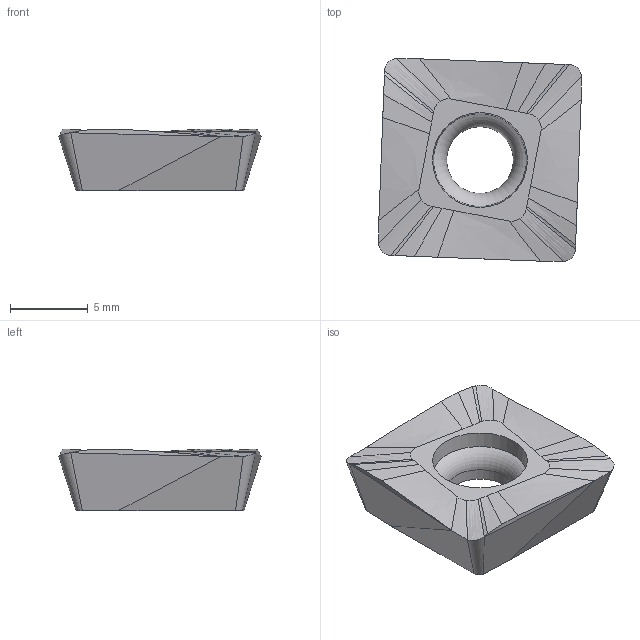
import cadquery as cq
import math

side_count = 4

base_half_width = 5.38
base_left_x = -4.99
base_right_x = 4.84
base_bend_x = -2.70
base_nose_bulge = 0.10

wiper_right_x = 5.34
wiper_left_x = 3.89
wiper_y = -6.49
wiper_height = 3.49
peak_right_x = -2.73
peak_left_x = -4.21
peak_height = 3.97
rise_x = -5.45
rise_height = 3.82
nose_x = -5.73
nose_y = -6.12
nose_height = 3.73
nose_bulge = 0.225
slope_bulge = 0.03

land_height = 3.8
land_half_width = 3.50
land_corner_radius = 0.97
land_turn = math.radians(-10.7)
land_split_turn = math.radians(47)
land_peak_right = -1.05
land_peak_left = -1.82
land_rise = -2.36

mouth_radius = 3.04
seat_radius = 2.98
seat_depth = 1.02
throat_radius = 2.14
throat_top_depth = 2.25
throat_bottom_depth = 2.98
relief_radius = 3.4

quarter_turn = 2 * math.pi / side_count
land_straight = land_half_width - land_corner_radius


def placed(point, side):
    """Turn a point of the front side onto the given side, clockwise seen from above."""
    angle = -side * quarter_turn
    x, y, z = point
    return cq.Vector(
        x * math.cos(angle) - y * math.sin(angle),
        x * math.sin(angle) + y * math.cos(angle),
        z,
    )


def bulged_arc(start, end, bulge):
    """Arc whose middle is pushed away from the Z axis by bulge."""
    middle = (start + end) * 0.5
    outward = cq.Vector(middle.x, middle.y, 0).normalized()
    return cq.Edge.makeThreePointArc(start, middle + outward * bulge, end)


def line_chain(points):
    return [cq.Edge.makeLine(start, end) for start, end in zip(points, points[1:])]


def face_inside(edges):
    return cq.Face.makeFromWires(cq.Wire.assembleEdges(edges))


def polygon(*points):
    return cq.Face.makeFromWires(cq.Wire.makePolygon(list(points), close=True))


def rim_y(x):
    """The rim is straight in plan from the nose to the wiper edge."""
    share = (x - nose_x) / (wiper_left_x - nose_x)
    return nose_y + share * (wiper_y - nose_y)


def facet_base_y(x):
    """Bottom edge of the left facet: its plane holds the crease and the nose end of the rim."""
    along_crease = cq.Vector(wiper_left_x - base_bend_x, wiper_y + base_half_width, wiper_height)
    toward_nose = cq.Vector(nose_x - base_bend_x, nose_y + base_half_width, nose_height)
    normal = along_crease.cross(toward_nose)
    return -base_half_width - (x - base_bend_x) * normal.x / normal.y


def rim_edges(side):
    """Rim of one side in order: wiper, slope, peak, rise, nose approach, nose arc."""
    wiper_right = placed((wiper_right_x, wiper_y, wiper_height), side)
    wiper_left = placed((wiper_left_x, wiper_y, wiper_height), side)
    peak_right = placed((peak_right_x, rim_y(peak_right_x), peak_height), side)
    peak_left = placed((peak_left_x, rim_y(peak_left_x), peak_height), side)
    rise = placed((rise_x, rim_y(rise_x), rise_height), side)
    nose = placed((nose_x, nose_y, nose_height), side)
    next_wiper = placed((wiper_right_x, wiper_y, wiper_height), side + 1)

    slope_middle = (wiper_left + peak_right) * 0.5 + cq.Vector(0, 0, slope_bulge)
    return [
        cq.Edge.makeLine(wiper_right, wiper_left),
        cq.Edge.makeThreePointArc(wiper_left, slope_middle, peak_right),
        *line_chain([peak_right, peak_left, rise, nose]),
        bulged_arc(nose, next_wiper, nose_bulge),
    ]


def land_point(along, outward, side):
    """Point of the land, by distance along its front edge and outward from the axis."""
    x = along * math.cos(land_turn) + outward * math.sin(land_turn)
    y = along * math.sin(land_turn) - outward * math.cos(land_turn)
    return placed((x, y, land_height), side)


def land_corner_point(turn, side):
    """Point of the left corner arc; turn is zero where the arc leaves the front edge."""
    along = -land_straight - land_corner_radius * math.sin(turn)
    outward = land_straight + land_corner_radius * math.cos(turn)
    return land_point(along, outward, side)


def land_corner_arc(start_turn, end_turn, side):
    return cq.Edge.makeThreePointArc(
        land_corner_point(start_turn, side),
        land_corner_point((start_turn + end_turn) / 2, side),
        land_corner_point(end_turn, side),
    )


def land_edges(side):
    """Land outline of one side, one edge for each rim edge."""
    front_edge = [
        land_corner_point(quarter_turn, side - 1),
        land_point(land_peak_right, land_half_width, side),
        land_point(land_peak_left, land_half_width, side),
        land_point(land_rise, land_half_width, side),
        land_corner_point(0, side),
    ]
    return [
        land_corner_arc(land_split_turn, quarter_turn, side - 1),
        *line_chain(front_edge),
        land_corner_arc(0, land_split_turn, side),
    ]


def base_edges(side):
    """Bottom outline of one side, ending with its nose arc."""
    right = placed((base_right_x, -base_half_width, 0), side)
    bend = placed((base_bend_x, -base_half_width, 0), side)
    left = placed((base_left_x, facet_base_y(base_left_x), 0), side)
    next_right = placed((base_right_x, -base_half_width, 0), side + 1)
    return [*line_chain([right, bend, left]), bulged_arc(left, next_right, base_nose_bulge)]


def clearance_faces(base, rim):
    """Two flat facets, the upright sliver under the raised rim, and the rounded nose."""
    wiper_edge = rim[0]
    raised_rim = rim[1:-1]
    nose_rim = rim[-1]
    right_bottom, left_bottom, nose_bottom = base
    bend = right_bottom.endPoint()
    wiper_left = wiper_edge.endPoint()
    nose = nose_rim.startPoint()
    return [
        polygon(bend, right_bottom.startPoint(), wiper_edge.startPoint(), wiper_left),
        polygon(left_bottom.endPoint(), bend, wiper_left, nose),
        face_inside([*raised_rim, cq.Edge.makeLine(nose, wiper_left)]),
        cq.Face.makeRuledSurface(nose_bottom, nose_rim),
    ]


def insert_body():
    faces = []
    base_outline = []
    land_outline = []
    for side in range(side_count):
        base = base_edges(side)
        rim = rim_edges(side)
        land = land_edges(side)
        faces += clearance_faces(base, rim)
        faces += [cq.Face.makeRuledSurface(outer, inner) for outer, inner in zip(rim, land)]
        base_outline += base
        land_outline += land
    faces.append(face_inside(base_outline))
    faces.append(face_inside(land_outline))
    return cq.Workplane(cq.Solid.makeSolid(cq.Shell.makeShell(faces)))


def screw_hole():
    """Revolved cutter: slightly tapered mouth, rounded seat, throat and flared relief below."""
    seat_z = land_height - seat_depth
    throat_top_z = land_height - throat_top_depth
    throat_bottom_z = land_height - throat_bottom_depth

    seat_drop = seat_z - throat_top_z
    seat_step = seat_radius - throat_radius
    seat_arc_radius = (seat_step**2 + seat_drop**2) / (2 * seat_step)
    return (
        cq.Workplane("XZ")
        .moveTo(0, land_height)
        .lineTo(mouth_radius, land_height)
        .lineTo(seat_radius, seat_z)
        .radiusArc((throat_radius, throat_top_z), -seat_arc_radius)
        .lineTo(throat_radius, throat_bottom_z)
        .lineTo(relief_radius, 0)
        .lineTo(0, 0)
        .close()
        .revolve(360, (0, 0, 0), (0, 1, 0))
    )


result = insert_body().cut(screw_hole()).solids()